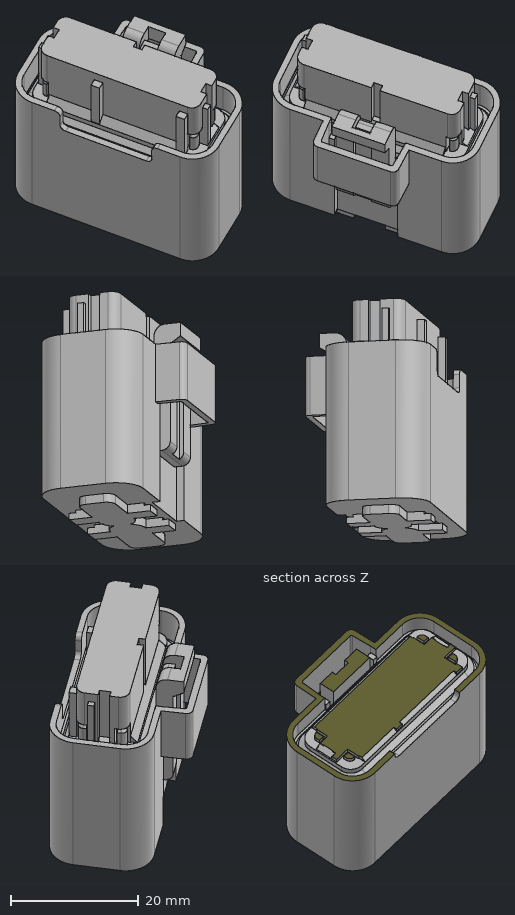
import cadquery as cq
import math

shell_length = 34.9
shell_depth = 16.68
shell_height = 25.27
shell_radius = 4.57
wall = 1.05
cavity_floor = 19.72
shell_back = shell_depth / 2
inner_length = shell_length - 2 * wall
inner_depth = shell_depth - 2 * wall

ledge_x = 14.95
ledge_y = 5.48
ledge_radius = 2.3
ledge_top = 22.02
lip_top = 21.05
lip_break = 20.35
lip_upper_reach = 0.98
lip_lower_reach = 0.42

core_x = 13.8
core_front = -4.2
core_back = 4.33
core_radius = 1.57
core_top = 32.65

ramp_top = 23.17
ramp_half_length = 11.83
side_ramp_back = 2.13

rib_top = 31.0
rib_width = 1.45
front_rib_y = -5.4
front_rib_places = (-3.25, 11.5)
side_rib_x = 14.7
side_rib_front = -2.02
side_rib_back = -0.98

side_slot_depth = 1.05
side_slot_front = -0.45
side_slot_back = 1.35
back_slot_width = 1.45
back_slot_depth = 1.05
back_slot_floor = 23.42

undercut_top = 26.05
undercut_x = 1.8
undercut_spans = ((core_front, side_rib_front), (core_back, side_ramp_back))
post_top = 25.7
post_inset = 0.35
post_gap = 0.4
post_radius = 0.87
post_chamfer = 0.7

notch_half_width = 7.95
notch_sill = 21.22
notch_radius = 0.98

channel_half_width = 5.37
channel_floor_y = 7.05
window_half_width = 6.28
bracket_back = 13.25
bracket_bar = 1.1
bracket_bottom = 15.8
bracket_half_base = 7.3
bracket_half_tip = 7.2
bracket_inner_half_tip = 6.07
bracket_radius = 1.0
bracket_inner_radius = 0.25

arm_half_width = 4.5
arm_inner = 7.0
arm_outer = 9.75
arm_foot_bend = 9.95
arm_foot = 8.65
head_back = 11.45
head_top = 29.4
head_bottom = 27.1
neck_top = 26.05
head_radius = 1.85
slit_half_width = 1.5
slit_front = 9.0
slit_back = 10.35
hump_top = 27.57
hump_bottom = 25.55
hump_front = 6.88
hump_radius = 1.1

foot_bottom = -1.43
foot_half_length = 12.4
foot_half_depth = 2.95
foot_radius = 1.45
foot_waist = 1.45
tongue_inner = 2.65
tongue_outer = 5.62
tongue_reach = 6.8
tongue_root = 5.72
tongue_top = -0.4


def box(x0, x1, y0, y1, z0, z1):
    """Axis-aligned block between two opposite corners."""
    return cq.Workplane("XY").box(x1 - x0, y1 - y0, z1 - z0, centered=False).translate((x0, y0, z0))


def rounded_block(half_x, y0, y1, radius, z0, z1):
    """Upright block, symmetric in X, with rounded vertical edges."""
    return box(-half_x, half_x, y0, y1, z0, z1).edges("|Z").fillet(radius)


def both_sides(solid):
    """The solid together with its mirror image in X."""
    return solid.union(solid.mirror("YZ"))


def across_x(points, half_width):
    """Polygon of (y, z) points extruded evenly to both sides of X = 0."""
    return cq.Workplane("YZ").polyline(points).close().extrude(half_width, both=True)


def make_shell():
    body = rounded_block(shell_length / 2, -shell_back, shell_back, shell_radius, 0, shell_height)
    half_inner = inner_depth / 2
    cavity = rounded_block(
        inner_length / 2, -half_inner, half_inner, shell_radius - wall, cavity_floor, shell_height
    )
    return body.cut(cavity).cut(make_notch())


def make_notch():
    """Front notch: rounded lower corners and flared, rounded upper corners."""
    top_half = notch_half_width + notch_radius
    shoulder = shell_height - notch_radius
    bottom_half = notch_half_width - notch_radius
    sill_end = notch_sill + notch_radius
    outline = (
        cq.Workplane("XZ")
        .moveTo(-top_half, shell_height)
        .radiusArc((-notch_half_width, shoulder), notch_radius)
        .lineTo(-notch_half_width, sill_end)
        .radiusArc((-bottom_half, notch_sill), -notch_radius)
        .lineTo(bottom_half, notch_sill)
        .radiusArc((notch_half_width, sill_end), -notch_radius)
        .lineTo(notch_half_width, shoulder)
        .radiusArc((top_half, shell_height), notch_radius)
        .close()
    )
    return outline.extrude(wall).translate((0, -inner_depth / 2, 0))


def lip_layer(outset, reach, z_low, z_high):
    """Layer of the seal that widens downwards by the given reach beyond an outset from the ledge."""
    grow = outset + reach
    outline = (
        cq.Sketch()
        .rect(2 * (ledge_x + grow), 2 * (ledge_y + grow))
        .vertices()
        .fillet(ledge_radius + grow)
    )
    rise = z_high - z_low
    slope = math.degrees(math.atan2(reach, rise))
    return cq.Workplane("XY", origin=(0, 0, z_low)).placeSketch(outline).extrude(rise, taper=slope)


def make_seal():
    ledge = rounded_block(ledge_x, -ledge_y, ledge_y, ledge_radius, cavity_floor, ledge_top)
    upper_lip = lip_layer(0, lip_upper_reach, lip_break, lip_top)
    lower_lip = lip_layer(lip_upper_reach, lip_lower_reach, cavity_floor, lip_break)
    return ledge.union(upper_lip).union(lower_lip)


def corner_block(inset, gap, y_face, y_wall, z0, z1):
    """Block in a right-hand undercut corner: inset from the core's faces, gap from the undercut's walls."""
    outwards = math.copysign(1, y_face)
    y0, y1 = sorted((y_face - outwards * inset, y_wall + outwards * gap))
    return box(core_x - undercut_x + gap, core_x - inset, y0, y1, z0, z1)


def make_core():
    core = rounded_block(core_x, core_front, core_back, core_radius, cavity_floor, core_top)
    side_slot = box(
        core_x - side_slot_depth, core_x, side_slot_front, side_slot_back, ledge_top, core_top
    )
    half_slot = back_slot_width / 2
    back_slot = box(
        -half_slot, half_slot, core_back - back_slot_depth, core_back, back_slot_floor, core_top
    )
    ramp_slope = (ramp_top - ledge_top) / (ledge_y - core_back)
    mouth_y = core_back - (back_slot_floor - ramp_top) / ramp_slope
    slot_mouth = across_x(
        [(core_back, ramp_top), (mouth_y, back_slot_floor), (core_back, back_slot_floor)], half_slot
    )
    core = core.cut(both_sides(side_slot)).cut(back_slot).cut(slot_mouth)
    for y_face, y_wall in undercut_spans:
        undercut = corner_block(0, 0, y_face, y_wall, ledge_top, undercut_top)
        core = core.cut(both_sides(undercut))
    return core


def make_posts(y_face, y_wall):
    """Pair of posts on the ledge, rounded and chamfered towards the core's outer corners."""
    post = corner_block(post_inset, post_gap, y_face, y_wall, cavity_floor, post_top)
    outer_corner = "|Z and >X and <Y" if y_face < 0 else "|Z and >X and >Y"
    post = post.edges(outer_corner).fillet(post_radius)
    return both_sides(post.faces(">Z").edges("%CIRCLE").chamfer(post_chamfer))


def make_ramps():
    back = across_x([(ledge_y, ledge_top), (core_back, ramp_top), (core_back, ledge_top)], ramp_half_length)
    front = across_x(
        [(-ledge_y, ledge_top), (core_front, ramp_top), (core_front, ledge_top)], ramp_half_length
    )
    side_inner = core_x - side_slot_depth
    side = (
        cq.Workplane("XZ", origin=(0, side_rib_front, 0))
        .polyline([(side_rib_x, ledge_top), (side_inner, ramp_top), (side_inner, ledge_top)])
        .close()
        .extrude(side_rib_front - side_ramp_back)
    )
    return front.union(back).union(both_sides(side))


def make_ribs():
    half_rib = rib_width / 2
    ribs = both_sides(box(core_x, side_rib_x, side_rib_front, side_rib_back, ledge_top, rib_top))
    for x in front_rib_places:
        ribs = ribs.union(box(x - half_rib, x + half_rib, front_rib_y, core_front, ledge_top, rib_top))
    return ribs


def bracket_outline(half_base, half_tip, tip_y, radius):
    """Tapered block reaching back from the shell, with rounded far corners."""
    return (
        cq.Workplane("XY", origin=(0, 0, bracket_bottom))
        .polyline(
            [(-half_base, shell_back), (half_base, shell_back), (half_tip, tip_y), (-half_tip, tip_y)]
        )
        .close()
        .extrude(shell_height - bracket_bottom)
        .edges("|Z and >Y")
        .fillet(radius)
    )


def make_bracket():
    outer = bracket_outline(bracket_half_base, bracket_half_tip, bracket_back, bracket_radius)
    inner = bracket_outline(
        window_half_width, bracket_inner_half_tip, bracket_back - bracket_bar, bracket_inner_radius
    )
    return outer.cut(inner)


def make_latch():
    arm = (
        cq.Workplane("YZ")
        .moveTo(arm_inner, arm_foot)
        .lineTo(shell_back, arm_foot)
        .radiusArc((arm_outer, arm_foot_bend), -(arm_outer - shell_back))
        .lineTo(arm_outer, neck_top)
        .lineTo(head_back, head_bottom)
        .lineTo(head_back, head_top)
        .lineTo(arm_inner + head_radius, head_top)
        .radiusArc((arm_inner, head_top - head_radius), -head_radius)
        .close()
        .extrude(arm_half_width, both=True)
    )
    slit = box(-slit_half_width, slit_half_width, slit_front, slit_back, 0, head_top)
    head_gap = box(-slit_half_width, slit_half_width, arm_inner, slit_back, hump_top, head_top)
    hump = (
        box(-slit_half_width, slit_half_width, hump_front, slit_front, hump_bottom, hump_top)
        .edges("|X and >Z and <Y")
        .fillet(hump_radius)
    )
    hump_space = box(-slit_half_width, slit_half_width, arm_inner, slit_front, hump_bottom, hump_top)
    return arm.cut(slit).cut(head_gap).cut(hump_space).union(hump)


def make_foot():
    """Two-lobed plate with four stepped tongues."""
    straight_end = foot_half_length - foot_radius
    dip = foot_half_depth - foot_waist
    lobe_radius = (tongue_inner**2 + dip**2) / (2 * dip)
    half = (
        cq.Workplane("XY", origin=(0, 0, foot_bottom))
        .moveTo(0, -foot_waist)
        .radiusArc((tongue_inner, -foot_half_depth), -lobe_radius)
        .lineTo(straight_end, -foot_half_depth)
        .radiusArc((foot_half_length, -foot_half_depth + foot_radius), -foot_radius)
        .lineTo(foot_half_length, foot_half_depth - foot_radius)
        .radiusArc((straight_end, foot_half_depth), -foot_radius)
        .lineTo(tongue_inner, foot_half_depth)
        .radiusArc((0, foot_waist), -lobe_radius)
        .close()
        .extrude(-foot_bottom)
    )
    tongue = box(tongue_inner, tongue_outer, -tongue_reach, tongue_reach, foot_bottom, tongue_top)
    root = box(tongue_inner, tongue_outer, -tongue_root, tongue_root, foot_bottom, 0)
    return both_sides(half.union(tongue).union(root))


channel = box(-channel_half_width, channel_half_width, channel_floor_y, shell_back, 0, shell_height)
window = box(-window_half_width, window_half_width, channel_floor_y, shell_back, lip_top, shell_height)
tabs = both_sides(
    box(channel_half_width, window_half_width, channel_floor_y, shell_back, cavity_floor, lip_top)
)

result = (
    make_shell()
    .union(tabs)
    .cut(window)
    .cut(channel)
    .union(make_seal())
    .union(make_core())
    .union(make_posts(*undercut_spans[0]))
    .union(make_posts(*undercut_spans[1]))
    .union(make_ramps())
    .union(make_ribs())
    .union(make_bracket())
    .union(make_latch())
    .union(make_foot())
)